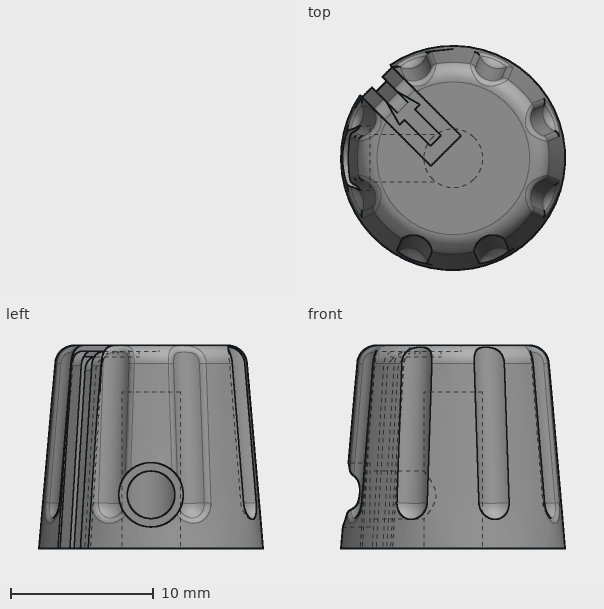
import cadquery as cq
import math

base_radius = 7.85
height = 14.22
taper = math.radians(5)
top_edge_fillet = 1.38

flute_count = 8
flute_radius = 1.41
flute_axis_offset = 0.74
flute_end_height = 3.31
flute_edge_fillet = 0.5
sharp_flutes = (5, 6)

pointer_angle = 135
channel_width = 2.98
channel_inner_end = 0.7
channel_side_depth = 0.35
channel_top_depth = 0.41
channel_fillet = 1.1
arrow_step = 0.41
arrow_width = 1.04
arrow_inner_end = 1.71
arrow_fillet = 1.0
head_start = 4.28
head_end = 6.05
head_width = 2.01

bore_diameter = 4.11
bore_depth = 10.98

screw_height = 3.77
counterbore_diameter = 4.5
counterbore_floor = 5.8
screw_hole_diameter = 3.33


def side_radius(z, radius_at_base=base_radius):
    """Radius of a tapered side at height z."""
    return radius_at_base - z * math.tan(taper)


def make_body():
    outline = [(0, 0), (base_radius, 0), (side_radius(height), height), (0, height)]
    cone = cq.Workplane("XZ").polyline(outline).close().revolve(360, (0, 0, 0), (0, 1, 0))
    return cone.faces(">Z").edges().fillet(top_edge_fillet)


def make_flute(index):
    axis_direction = cq.Vector(-math.sin(taper), 0, math.cos(taper))
    axis_radius = side_radius(flute_end_height) + flute_axis_offset / math.cos(taper)
    end_center = cq.Vector(axis_radius, 0, flute_end_height)
    shaft = cq.Solid.makeCylinder(flute_radius, height, end_center, axis_direction)
    round_end = cq.Workplane("XY").sphere(flute_radius).translate(end_center)
    flute = cq.Workplane(shaft).union(round_end)
    return flute.rotate((0, 0, 0), (0, 0, 1), (index + 0.5) * 360 / flute_count)


def cut_flutes(body):
    for index in range(flute_count):
        if index not in sharp_flutes:
            body = body.cut(make_flute(index))
    body = body.edges("not(%CIRCLE or %LINE)").fillet(flute_edge_fillet)
    for index in sharp_flutes:
        body = body.cut(make_flute(index))
    return body


def make_channel(width, inner_end, side_depth, top_depth, fillet):
    """Cutter that runs over the top and down the side, along +X."""
    floor_radius = base_radius - side_depth
    floor_height = height - top_depth
    corner = (side_radius(floor_height, floor_radius), floor_height)
    below = -height / 10
    outer = 2 * base_radius
    inside = [
        (inner_end, floor_height),
        corner,
        (side_radius(below, floor_radius), below),
        (outer, below),
        (outer, 2 * height),
        (inner_end, 2 * height),
    ]
    cutter = cq.Workplane("XZ").polyline(inside).close().extrude(width / 2, both=True)
    corner_edge = cq.selectors.NearestToPointSelector((corner[0], 0, corner[1]))
    return cutter.edges("|Y").edges(corner_edge).fillet(fillet)


def make_pointer():
    channel = make_channel(
        channel_width, channel_inner_end, channel_side_depth, channel_top_depth, channel_fillet
    )
    arrow_top_depth = channel_top_depth + arrow_step
    stem = make_channel(
        arrow_width, arrow_inner_end, channel_side_depth + arrow_step, arrow_top_depth, arrow_fillet
    )
    head = (
        cq.Workplane("XY", origin=(0, 0, height - arrow_top_depth))
        .moveTo(head_start, -head_width / 2)
        .lineTo(head_end, -arrow_width / 2)
        .lineTo(head_end, arrow_width / 2)
        .lineTo(head_start, head_width / 2)
        .close()
        .extrude(arrow_top_depth)
    )
    pointer = channel.union(stem).union(head)
    return pointer.rotate((0, 0, 0), (0, 0, 1), pointer_angle)


def make_screw_hole():
    """Counterbored cutter built along +Z, then laid over to point along -X."""
    counterbore = (
        cq.Workplane("XY", origin=(0, 0, counterbore_floor))
        .circle(counterbore_diameter / 2)
        .extrude(base_radius)
    )
    hole = cq.Workplane("XY").circle(screw_hole_diameter / 2).extrude(counterbore_floor)
    cutter = hole.union(counterbore)
    return cutter.rotate((0, 0, 0), (0, 1, 0), -90).translate((0, 0, screw_height))


bore = cq.Workplane("XY").circle(bore_diameter / 2).extrude(bore_depth)

result = cut_flutes(make_body()).cut(make_pointer()).cut(bore).cut(make_screw_hole())